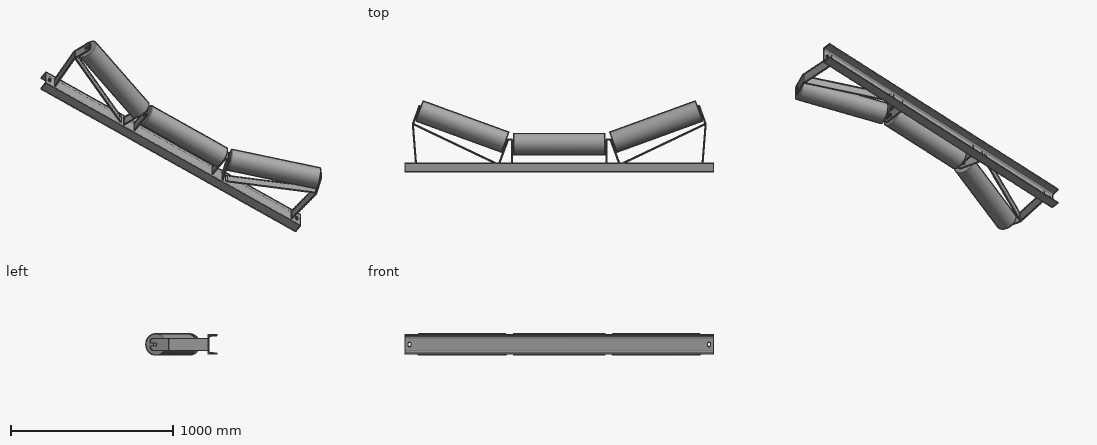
import cadquery as cq
import math


BEAM_LENGTH = 1900.0
BEAM_HEIGHT = 120.0
FLANGE_DEPTH = 55.0
WEB_THICKNESS = 7.0
FLANGE_MID_THICKNESS = 9.0
FLANGE_TAPER = 0.08
FLANGE_ROOT_RADIUS = 9.0
FLANGE_TIP_RADIUS = 4.5
MOUNT_SLOT_WIDTH = 17.0
MOUNT_SLOT_HEIGHT = 28.0
MOUNT_SLOT_INSET = 28.0

ROLLER_DIAMETER = 133.0
ROLLER_LENGTH = 562.0
ROLLER_EDGE_RADIUS = 2.0
SHAFT_SIZE = 19.0
MIDDLE_ROLLER_Y = 115.0
WING_ANGLE = 20.0
WING_CENTRE = (597.0, 225.0)

PLATE_THICKNESS = 6.6
PLATE_WIDTH = 76.0
END_GAP = 6.6
BEND_RADIUS = 11.0
FOLD_RADIUS = 4.0
FOLD_Y = 148.0
SUPPORT_TOP = 32.0
SUPPORT_CORNER_RADIUS = 23.0
SUPPORT_BEND_Y = 240.0
SUPPORT_FOOT_X = 885.0
STRUT_WIDTH = 59.0
STRUT_FOOT_X = 403.0
STRUT_TOP_Y = 235.0

ALONG = (math.cos(math.radians(WING_ANGLE)), math.sin(math.radians(WING_ANGLE)))
ACROSS = (-ALONG[1], ALONG[0])
BEAM_BACK = ((0.0, 0.0), (1.0, 0.0))
SIDES = (1, -1)

BRACKET_FACE = ROLLER_LENGTH / 2 + END_GAP
SHAFT_LENGTH = 2 * (BRACKET_FACE + PLATE_THICKNESS)
SLOT_REACH = ROLLER_DIAMETER / 2


def wing_point(along, across):
    """Point given in the axes of the right-hand wing roller, as X and Y."""
    return tuple(WING_CENTRE[i] + along * ALONG[i] + across * ACROSS[i] for i in (0, 1))


def line_through(start, end):
    """Line as a point and a unit direction."""
    length = math.dist(start, end)
    return (start, ((end[0] - start[0]) / length, (end[1] - start[1]) / length))


def shifted(line, distance):
    """Parallel line, moved to the left of its direction."""
    (x, y), (dx, dy) = line
    return ((x - distance * dy, y + distance * dx), (dx, dy))


def meet(first, second):
    """Crossing point of two lines."""
    (x1, y1), (dx1, dy1) = first
    (x2, y2), (dx2, dy2) = second
    travel = ((x2 - x1) * dy2 - (y2 - y1) * dx2) / (dx1 * dy2 - dy1 * dx2)
    return (x1 + travel * dx1, y1 + travel * dy1)


def bent_plate(faces, first_end, last_end, width, radius=0):
    """Plate whose right side follows a chain of face lines, cut off by the two end lines.

    The plate is centred on Z = 0. Every bend turns left and has the given inner radius.
    """
    left_faces = [shifted(face, PLATE_THICKNESS) for face in faces]
    right_chain = [first_end, *faces, last_end]
    left_chain = [first_end, *left_faces, last_end]
    right_points = [meet(a, b) for a, b in zip(right_chain, right_chain[1:])]
    left_points = [meet(a, b) for a, b in zip(left_chain, left_chain[1:])]
    outline = right_points + left_points[::-1]
    plate = cq.Workplane("XY", (0, 0, -width / 2)).polyline(outline).close().extrude(width)
    for right, left in zip(right_points[1:-1], left_points[1:-1]):
        plate = plate.edges(cq.NearestToPointSelector((*left, 0))).fillet(radius)
        plate = plate.edges(cq.NearestToPointSelector((*right, 0))).fillet(radius + PLATE_THICKNESS)
    return plate


SUPPORT_BEND = meet((wing_point(SHAFT_LENGTH / 2, 0), ACROSS), ((0, SUPPORT_BEND_Y), (1, 0)))
SUPPORT_LEG = line_through((SUPPORT_FOOT_X, 0), SUPPORT_BEND)


def in_wing_axes(body):
    """Move a body made along X at the origin to the place of the right-hand wing roller."""
    return body.rotate((0, 0, 0), (0, 0, 1), WING_ANGLE).translate((*WING_CENTRE, 0))


def at_middle_roller(body):
    """Move a body made along X at the origin to the place of the middle roller."""
    return body.translate((0, MIDDLE_ROLLER_Y, 0))


def on_side(body, side):
    """The right-hand body itself, or its mirror image on the left."""
    return body if side > 0 else body.mirror("YZ")


def make_beam():
    """Channel with tapered flanges that point away from the rollers, and a slot at each end."""
    half_height = BEAM_HEIGHT / 2
    taper_rise = FLANGE_TAPER * FLANGE_DEPTH / 2
    tip_z = half_height - FLANGE_MID_THICKNESS + taper_rise
    root_z = tip_z - FLANGE_TAPER * (FLANGE_DEPTH - WEB_THICKNESS)
    beam = (
        cq.Workplane("YZ", (-BEAM_LENGTH / 2, 0, 0))
        .moveTo(0, -half_height)
        .lineTo(0, half_height)
        .lineTo(-FLANGE_DEPTH, half_height)
        .lineTo(-FLANGE_DEPTH, tip_z)
        .lineTo(-WEB_THICKNESS, root_z)
        .lineTo(-WEB_THICKNESS, -root_z)
        .lineTo(-FLANGE_DEPTH, -tip_z)
        .lineTo(-FLANGE_DEPTH, -half_height)
        .close()
        .extrude(BEAM_LENGTH)
    )
    for z_side in SIDES:
        root_corner = (0, -WEB_THICKNESS, z_side * root_z)
        tip_corner = (0, -FLANGE_DEPTH, z_side * tip_z)
        beam = beam.edges(cq.NearestToPointSelector(root_corner)).fillet(FLANGE_ROOT_RADIUS)
        beam = beam.edges(cq.NearestToPointSelector(tip_corner)).fillet(FLANGE_TIP_RADIUS)
    slot_x = BEAM_LENGTH / 2 - MOUNT_SLOT_INSET
    slots = (
        cq.Workplane("XZ")
        .pushPoints([(side * slot_x, 0) for side in SIDES])
        .slot2D(MOUNT_SLOT_HEIGHT, MOUNT_SLOT_WIDTH, 90)
        .extrude(WEB_THICKNESS)
    )
    return beam.cut(slots)


def make_roller():
    """Roller along X at the origin, its square shaft flush with the far faces of the brackets."""
    tube = (
        cq.Workplane("YZ", (-ROLLER_LENGTH / 2, 0, 0))
        .circle(ROLLER_DIAMETER / 2)
        .extrude(ROLLER_LENGTH)
    )
    tube = tube.faces("|X").edges().fillet(ROLLER_EDGE_RADIUS)
    return tube.union(cq.Workplane("XY").box(SHAFT_LENGTH, SHAFT_SIZE, SHAFT_SIZE))


def make_shaft_slots():
    """Open-topped slots that hold both ends of a shaft along X at the origin."""
    return (
        cq.Workplane("XY")
        .box(SHAFT_LENGTH, SLOT_REACH + SHAFT_SIZE / 2, SHAFT_SIZE)
        .translate((0, (SLOT_REACH - SHAFT_SIZE / 2) / 2, 0))
    )


def make_inner_bracket():
    """Folded plate between the middle roller and the right-hand wing roller."""
    wing_leg = (wing_point(-BRACKET_FACE, 0), ACROSS)
    fold = ((0, FOLD_Y), (-1, 0))
    middle_leg = ((BRACKET_FACE, 0), (0, -1))
    bracket = bent_plate([wing_leg, fold, middle_leg], BEAM_BACK, BEAM_BACK, PLATE_WIDTH, FOLD_RADIUS)
    bracket = bracket.cut(in_wing_axes(make_shaft_slots()))
    return bracket.cut(at_middle_roller(make_shaft_slots()))


def make_outer_bracket():
    """Bent plate that carries the raised end of the right-hand wing roller."""
    upright = (wing_point(SHAFT_LENGTH / 2, 0), ACROSS)
    top = (wing_point(0, SUPPORT_TOP), ALONG)
    bracket = bent_plate([SUPPORT_LEG, upright], BEAM_BACK, top, PLATE_WIDTH, BEND_RADIUS)
    top_corners = bracket.faces(">Y").edges("not |Z")
    bracket = top_corners.fillet(SUPPORT_CORNER_RADIUS)
    return bracket.cut(in_wing_axes(make_shaft_slots()))


def make_strut():
    """Sloping plate from the beam to the outer bracket, its end shaped to the bracket's bend."""
    leg_face = shifted(SUPPORT_LEG, PLATE_THICKNESS)
    strut_top = meet(leg_face, ((0, STRUT_TOP_Y), (1, 0)))
    lower_face = line_through((STRUT_FOOT_X, 0), strut_top)
    strut = bent_plate([lower_face], BEAM_BACK, leg_face, STRUT_WIDTH)
    return strut.cut(make_outer_bracket())


beam = make_beam()
middle_roller = at_middle_roller(make_roller())
wing_rollers = [on_side(in_wing_axes(make_roller()), side) for side in SIDES]
inner_brackets = [on_side(make_inner_bracket(), side) for side in SIDES]
outer_brackets = [on_side(make_outer_bracket(), side) for side in SIDES]
struts = [on_side(make_strut(), side) for side in SIDES]

bodies = [beam, middle_roller, *wing_rollers, *inner_brackets, *outer_brackets, *struts]
result = cq.Compound.makeCompound([body.val() for body in bodies])